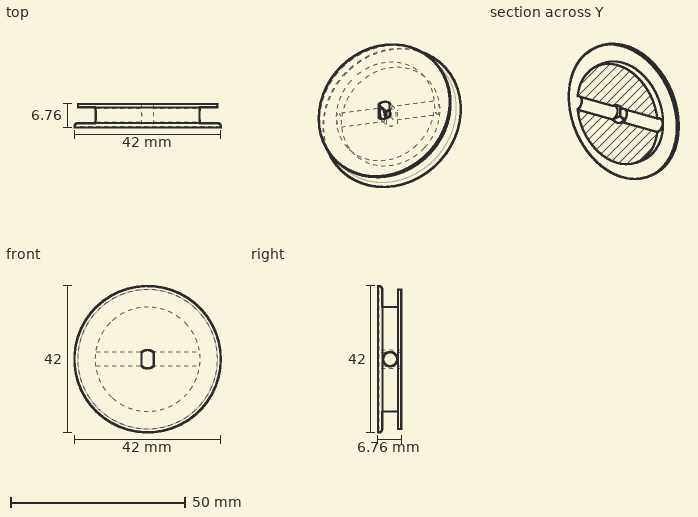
import cadquery as cq
import math

hub_radius = 15.0
flange_radius = 20.0
flange_thickness = 1.0
hub_width = 4.5

rim_radius = flange_thickness
lip_angle = math.radians(15.0)
lip_height = rim_radius * math.sin(lip_angle)

bore_diameter = 5.2
bore_width_across_flats = 3.4
cross_hole_diameter = 4.0

front_face_y = lip_height
hub_front_y = front_face_y + flange_thickness
hub_rear_y = hub_front_y + hub_width
rear_face_y = hub_rear_y + flange_thickness


def rim_point(angle):
    """Point on the rim arc; zero points radially outward, positive angles lean to the rear."""
    return (
        flange_radius + rim_radius * math.cos(angle),
        front_face_y + rim_radius * math.sin(angle),
    )


def make_spool():
    """Revolve the half section (radius, Y) about the Y axis."""
    return (
        cq.Workplane("XY")
        .moveTo(0, front_face_y)
        .lineTo(flange_radius, front_face_y)
        .lineTo(*rim_point(-lip_angle))
        .threePointArc(rim_point(0), (flange_radius, hub_front_y))
        .lineTo(hub_radius, hub_front_y)
        .lineTo(hub_radius, hub_rear_y)
        .lineTo(flange_radius, hub_rear_y)
        .lineTo(flange_radius, rear_face_y)
        .lineTo(0, rear_face_y)
        .close()
        .revolve(360, (0, 0, 0), (0, 1, 0))
    )


def make_shaft_bore():
    """Round bore through the full width, limited by two flats facing X."""
    bore = cq.Workplane("XZ").circle(bore_diameter / 2).extrude(-rear_face_y)
    flats = (
        cq.Workplane("XZ")
        .rect(bore_width_across_flats, bore_diameter)
        .extrude(-rear_face_y)
    )
    return bore.intersect(flats)


def make_cross_hole():
    """Round hole through the whole hub along X, centred between the flanges."""
    hub_middle_y = (hub_front_y + hub_rear_y) / 2
    return (
        cq.Workplane("YZ")
        .center(hub_middle_y, 0)
        .circle(cross_hole_diameter / 2)
        .extrude(flange_radius, both=True)
    )


result = make_spool().cut(make_shaft_bore()).cut(make_cross_hole())